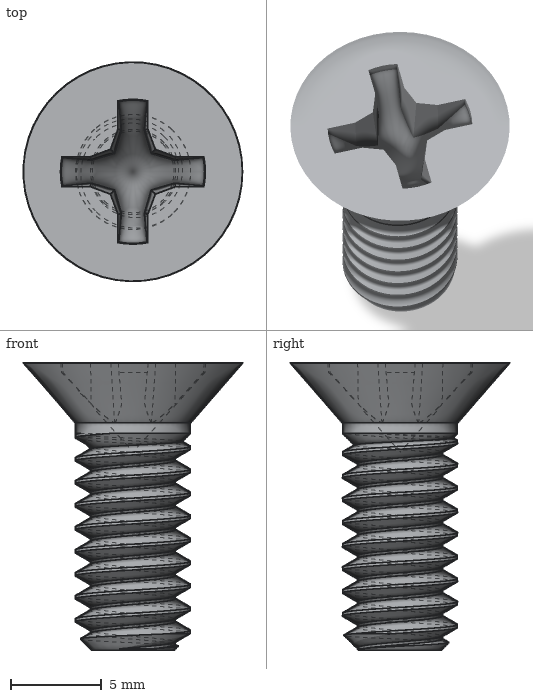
import cadquery as cq
import math

total_length = 15.88
head_diameter = 12.12
head_angle = 82.0
shank_diameter = 6.35
collar_height = 0.57

pitch = 1.27
thread_depth = 0.83
flank_angle = 30.0
root_flat = 0.16
crest_phase = 1.03
ridge_embedding = 0.05
envelope_margin = 0.16
tip_radius = 2.25

wing_radius = 4.0
wing_half_width = 0.83
wing_root = 2.35
inner_corner = 1.24
recess_taper = 5.0
rim_wall_depth = 0.46
recess_floor_angle = 48.0

head_radius = head_diameter / 2
shank_radius = shank_diameter / 2
root_radius = shank_radius - thread_depth
head_height = (head_radius - shank_radius) / math.tan(math.radians(head_angle / 2))
head_bottom = total_length - head_height
collar_bottom = head_bottom - collar_height


def revolve_profile(points):
    """Turn a closed radius-height outline about the Z axis."""
    return cq.Workplane("XZ").polyline(points).close().revolve(360, (0, 0), (0, 1))


def make_head():
    """Countersunk head and collar, with a 45 degree cone where the thread runs out."""
    return revolve_profile([
        (0, total_length),
        (head_radius, total_length),
        (shank_radius, head_bottom),
        (shank_radius, collar_bottom),
        (root_radius, collar_bottom - thread_depth),
        (0, collar_bottom - thread_depth),
    ])


def make_core():
    """Plain core of the shank, at the root of the thread."""
    return revolve_profile([
        (0, 0),
        (tip_radius, 0),
        (root_radius, root_radius - tip_radius),
        (root_radius, collar_bottom),
        (0, collar_bottom),
    ])


def make_helical_ridge():
    """Right-handed ridge with a flat crest, reaching past both ends of the thread."""
    flank_slope = math.tan(math.radians(flank_angle))
    base_radius = root_radius - ridge_embedding
    crest_half = (pitch - root_flat) / 2 - thread_depth * flank_slope
    base_half = crest_half + (shank_radius - base_radius) * flank_slope
    start = crest_phase - 2 * pitch
    turns = math.ceil((collar_bottom - start) / pitch) + 1
    length = turns * pitch
    corners = [
        (base_radius, start - base_half),
        (shank_radius, start - crest_half),
        (shank_radius, start + crest_half),
        (base_radius, start + base_half),
    ]

    helices = [
        cq.Wire.makeHelix(pitch, length, radius, center=cq.Vector(0, 0, height))
        for radius, height in corners
    ]
    faces = [
        cq.Face.makeRuledSurface(helices[i - 1], helices[i])
        for i in range(len(helices))
    ]
    for rise in (0, length):
        end_points = [cq.Vector(radius, 0, height + rise) for radius, height in corners]
        faces.append(cq.Face.makeFromWires(cq.Wire.makePolygon(end_points, close=True)))
    return cq.Workplane(cq.Solid.makeSolid(cq.Shell.makeShell(faces)))


def make_thread():
    """Thread ridge cut flat under the collar and by a 45 degree chamfer at the tip."""
    envelope_radius = shank_radius + envelope_margin
    envelope = revolve_profile([
        (0, 0),
        (tip_radius, 0),
        (envelope_radius, envelope_radius - tip_radius),
        (envelope_radius, collar_bottom),
        (0, collar_bottom),
    ])
    return make_helical_ridge().intersect(envelope)


def turned(x, y, quarters):
    """Turn a point about the axis by a number of quarter turns."""
    for _ in range(quarters):
        x, y = -y, x
    return x, y


def recess_outline(height, inset):
    """Cross outline at a height, with every wall moved inwards by the inset."""
    tip_reach = wing_radius - inset
    half_width = wing_half_width - inset
    wing_end = math.sqrt(tip_reach**2 - half_width**2)
    flare = math.atan2(inner_corner - wing_half_width, wing_root - inner_corner)
    corner = inner_corner - inset / (math.sin(flare) + math.cos(flare))
    root = wing_root - inset * math.tan(flare / 2)

    outline = cq.Workplane("XY", origin=(0, 0, height)).moveTo(wing_end, -half_width)
    for quarter in range(4):
        outline = outline.threePointArc(
            turned(tip_reach, 0, quarter), turned(wing_end, half_width, quarter)
        )
        for x, y in [(root, half_width), (corner, corner), (half_width, root)]:
            outline = outline.lineTo(*turned(x, y, quarter))
        if quarter < 3:
            outline = outline.lineTo(*turned(half_width, wing_end, quarter))
    return outline.close().val()


def make_recess():
    """Cross recess with tapered walls and a conical floor."""
    recess_depth = rim_wall_depth + wing_radius * math.tan(math.radians(recess_floor_angle))
    recess_bottom = total_length - recess_depth
    bottom_inset = recess_depth * math.tan(math.radians(recess_taper))
    walls = cq.Workplane(cq.Solid.makeLoft([
        recess_outline(total_length, 0),
        recess_outline(recess_bottom, bottom_inset),
    ], True))
    floor = revolve_profile([
        (0, total_length),
        (wing_radius, total_length),
        (wing_radius, total_length - rim_wall_depth),
        (0, recess_bottom),
    ])
    return walls.intersect(floor)


body = make_core().union(make_head()).cut(make_recess())
result = body.union(make_thread())